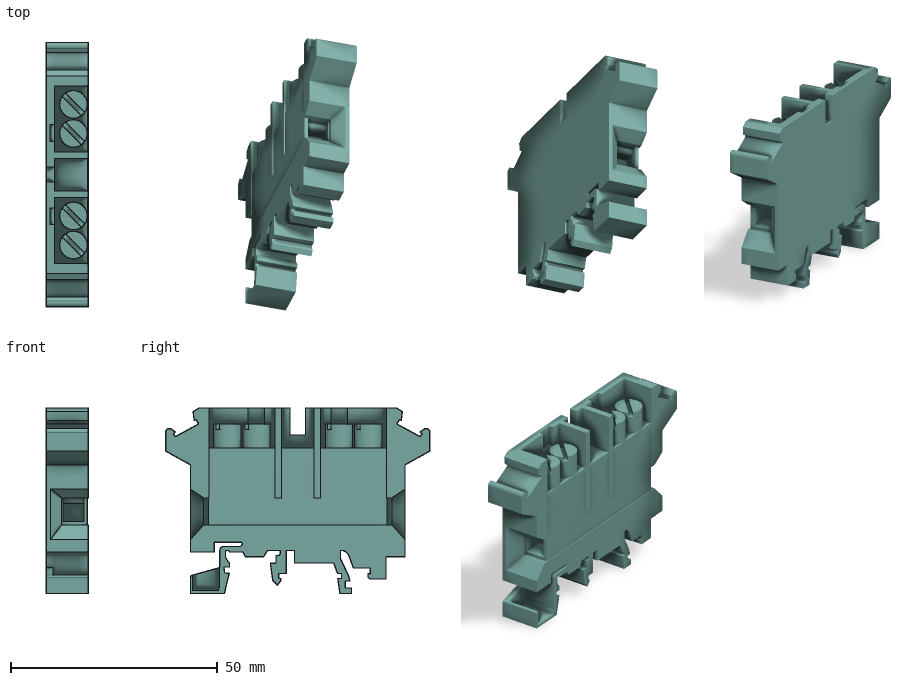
import cadquery as cq


width = 10.2
length = 64.0
height = 45.0
half_length = length / 2
overshoot = 0.65

end_y = 26.0
shoulder_z = 31.2
split_z = 15.35
gap_top_z = 10.4
web_z = 7.35
pivot_end_z = 8.9
clip_end_z = 10.05
catch_z = 4.85
barb_z = 3.7

side_wall = 2.05
core_x = 10.0
pocket_floor_z = 35.2
middle_pocket_length = 7.95
screw_pocket_length = 16.0
screw_pocket_y = 13.5

wall_slot_width = 3.65
wall_slot_depth = 6.6
notch_x = 0.9
notch_length = 4.1
notch_y = 10.05
notch_depth = 5.1

screw_x = 6.6
screw_radius = 3.3
screw_top_z = 41.0
screw_spacing = 7.05
drive_slot_width = 1.15
drive_slot_depth = 1.3
drive_slot_angle = -45

funnel_depth = 3.2
funnel_outer_x = 1.0
funnel_outer_z = (13.1, 25.3)
funnel_inner_x = 3.7
funnel_inner_z = (16.65, 23.2)
throat_depth = 1.15
wire_hole_x = (4.1, 9.1)
wire_hole_floor_z = 17.4
wire_hole_depth = 5.1
clamp_bar_z = 21.75
clamp_bar_setback = 1.6
clamp_bar_radius = 0.8

slit_top_z = 12.4
arm_top_z = 11.45
arm_round = 0.95
stem_y = -18.9
stem_foot_z = 6.35
clip_lip_z = 4.5
clip_lip_thickness = 0.5
clip_side_wall = 1.6
clip_floor_z = 0.8
clip_ramp_z = 2.1
clip_ramp_run = 0.3


def box(x_range, y_range, z_range):
    """Axis-aligned box from pairs of limits; each pair is in rising order."""
    sizes = [high - low for low, high in (x_range, y_range, z_range)]
    corner = (x_range[0], y_range[0], z_range[0])
    return cq.Workplane("XY").box(*sizes, centered=False).translate(corner)


def centred(middle, size):
    """Limits of a stretch of the given size around a middle."""
    return (middle - size / 2, middle + size / 2)


def both_ends(shape):
    """The shape together with its mirror image at the other Y end."""
    return shape.union(shape.mirror("XZ"))


def trace(path, points):
    """Continue a path with straight lines through the points."""
    for point in points:
        path = path.lineTo(*point)
    return path


def upper_body():
    """Symmetrical housing above the feet, with a marker lug at each end."""
    lug_groove = [(29.6, 39.1), (30.1, 38.65), (29.6, 38.0)]
    head_edge = [(24.0, 41.1), (24.65, 42.1), (25.1, 41.9), (25.35, 44.0)]
    path = cq.Workplane("YZ").moveTo(0, split_z)
    path = trace(path, [(end_y, split_z), (end_y, shoulder_z), (half_length, 34.5)])
    path = path.lineTo(half_length, 39.05).tangentArcPoint((30.5, 39.8), relative=False)
    path = trace(path, lug_groove + head_edge + [(23.9, height), (0, height)])
    return both_ends(path.close().extrude(width))


def lower_body():
    """Underside of the housing with its rail feet, from the +Y end to the -Y end."""
    hooked_block = [(end_y, pivot_end_z), (21.4, pivot_end_z), (21.4, 3.5), (17.5, 3.5), (16.95, 4.0),
                    (16.95, catch_z), (17.55, catch_z), (17.55, 6.2), (13.45, 6.2), (12.5, 8.8)]
    slanted_hook = [(10.4, gap_top_z), (10.4, 8.45), (12.35, 4.3), (12.7, 3.0), (11.5, 3.0),
                    (11.5, 1.4), (13.05, 1.4), (13.05, 0), (10.2, 0), (9.65, barb_z), (10.55, barb_z),
                    (10.55, catch_z), (9.6, catch_z), (8.7, web_z)]
    barbed_foot = [(-0.8, web_z), (-0.8, gap_top_z), (-2.75, gap_top_z), (-2.75, catch_z),
                   (-4.55, catch_z), (-4.55, barb_z), (-4.1, barb_z), (-4.1, 3.15), (-4.9, 2.0),
                   (-6.1, 3.2), (-6.65, web_z), (-5.3, web_z), (-5.3, 9.3), (-4.55, 9.3),
                   (-4.3, 9.6), (-4.3, gap_top_z)]
    clip_root = [(-7.3, gap_top_z), (-8.25, pivot_end_z), (-12.7, pivot_end_z), (-13.25, clip_end_z),
                 (-16.5, clip_end_z), (-16.7, gap_top_z), (-17.3, gap_top_z), (-17.5, 10.25)]
    clip_rail_side = [(-17.5, 8.8), (-16.5, 7.3), (-16.5, 6.4), (-17.85, 6.4), (-17.65, 5.05),
                      (-16.6, 4.9), (-17.7, 0)]
    clip_foot = [(-end_y, 0), (-end_y, clip_lip_z - clip_lip_thickness)]
    clip_slit = [(-13.8, arm_top_z), (-13.4, 11.9), (-13.6, slit_top_z), (-20.15, slit_top_z),
                 (-20.15, clip_end_z), (-end_y, clip_end_z), (-end_y, split_z)]

    path = trace(cq.Workplane("YZ").moveTo(end_y, split_z), hooked_block)
    path = path.threePointArc((11.85, 9.9), (10.9, gap_top_z))
    path = trace(path, slanted_hook + barbed_foot + clip_root + clip_rail_side + clip_foot)
    path = path.tangentArcPoint((-end_y + clip_lip_thickness, clip_lip_z), relative=False)
    path = trace(path, [(stem_y, stem_foot_z), (stem_y, arm_top_z - arm_round)])
    path = path.tangentArcPoint((stem_y + arm_round, arm_top_z), relative=False)
    return trace(path, clip_slit).close().extrude(width)


def clip_foot_pocket():
    """Pocket in the clip foot, behind its lip and open towards +X."""
    lip_y = -end_y + clip_lip_thickness
    outline = [(lip_y, clip_floor_z), (stem_y - clip_ramp_run, clip_floor_z), (stem_y, clip_ramp_z),
               (stem_y, stem_foot_z + overshoot), (lip_y, stem_foot_z + overshoot)]
    pocket = cq.Workplane("YZ").workplane(offset=clip_side_wall).polyline(outline).close()
    return pocket.extrude(width - clip_side_wall + overshoot)


def top_pocket(y, pocket_length):
    """Pocket open at the top and towards +X, with the core set back below it."""
    open_x = width + overshoot
    y_range = centred(y, pocket_length)
    room = box((side_wall, open_x), y_range, (pocket_floor_z, height + overshoot))
    setback = box((core_x, open_x), y_range, (funnel_inner_z[0], pocket_floor_z))
    return room.union(setback)


def wall_slot():
    """Slot through the -X wall into the middle pocket."""
    z_range = (height - wall_slot_depth, height + overshoot)
    return box((-overshoot, side_wall), centred(0, wall_slot_width), z_range)


def wall_notch():
    """Notch in the inner face of the -X wall beside a screw pocket."""
    z_range = (height - notch_depth, height + overshoot)
    return box((notch_x, side_wall), centred(-notch_y, notch_length), z_range)


def screw(y):
    """Slotted screw standing on the pocket floor."""
    head = cq.Workplane("XY").circle(screw_radius).extrude(screw_top_z - pocket_floor_z)
    drive_slot = (
        cq.Workplane("XY")
        .box(3 * screw_radius, drive_slot_width, 2 * drive_slot_depth)
        .rotate((0, 0, 0), (0, 0, 1), drive_slot_angle)
        .translate((0, 0, screw_top_z - pocket_floor_z))
    )
    return head.cut(drive_slot).translate((screw_x, y, pocket_floor_z))


def wire_entry():
    """Funnel, throat and wire hole at the -Y end, open towards +X."""
    open_x = width + overshoot
    throat_y = -end_y + funnel_depth
    core_y = throat_y + throat_depth

    outer_half = width - funnel_outer_x
    inner_half = width - funnel_inner_x
    outer_size = funnel_outer_z[1] - funnel_outer_z[0]
    inner_size = funnel_inner_z[1] - funnel_inner_z[0]
    outer_mid_z = sum(funnel_outer_z) / 2
    inner_mid_z = sum(funnel_inner_z) / 2
    funnel = (
        cq.Workplane("XZ", origin=(width, -end_y, outer_mid_z))
        .rect(2 * outer_half, outer_size)
        .workplane(offset=-funnel_depth)
        .center(0, inner_mid_z - outer_mid_z)
        .rect(2 * inner_half, inner_size)
        .loft()
    )
    throat = box((funnel_inner_x, open_x), (throat_y, core_y), funnel_inner_z)

    hole_y = (core_y, core_y + wire_hole_depth)
    hole = box(wire_hole_x, hole_y, (wire_hole_floor_z, funnel_inner_z[1]))
    bar_y = (core_y + clamp_bar_setback, hole_y[1])
    bar = box(wire_hole_x, bar_y, (clamp_bar_z, funnel_inner_z[1]))
    bar = bar.edges("<Y and <Z").fillet(clamp_bar_radius)
    return funnel.union(throat).union(hole.cut(bar))


def core_setback():
    """Shallow recess along the +X side that joins the two wire entries."""
    reach = end_y - funnel_depth
    return box((core_x, width + overshoot), (-reach, reach), funnel_inner_z)


body = upper_body().union(lower_body())
body = body.cut(clip_foot_pocket()).cut(wall_slot()).cut(both_ends(wall_notch()))
body = body.cut(top_pocket(0, middle_pocket_length))
body = body.cut(both_ends(top_pocket(-screw_pocket_y, screw_pocket_length)))
body = body.cut(core_setback()).cut(both_ends(wire_entry()))

for pocket_y in (-screw_pocket_y, screw_pocket_y):
    for side in (-1, 1):
        body = body.union(screw(pocket_y + side * screw_spacing / 2))

result = body